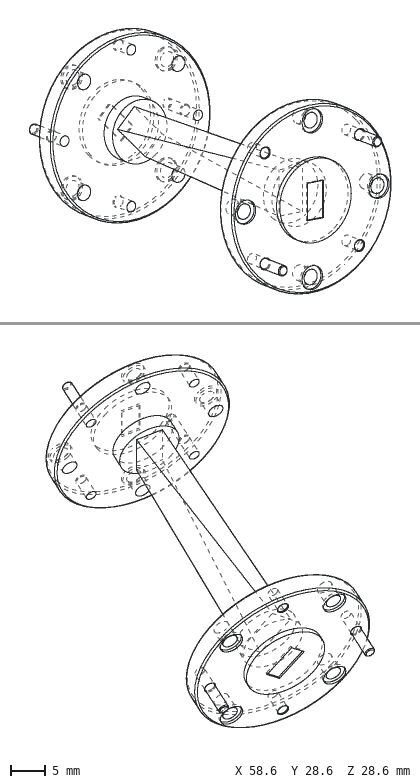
import cadquery as cq
import math

PIN_TIP = 29.3
BOSS_FACE = 25.45
FLANGE_FACE = 24.65
FLANGE_BACK = 21.3
COLLAR_END = 19.15

FLANGE_RADIUS = 14.3
FLANGE_CHAMFER = 0.3
BOSS_RADIUS = 6.4
COLLAR_RADIUS = 4.85
BOLT_CIRCLE_RADIUS = 23.85 / 2
HOLES_PER_SET = 4
SET_OFFSET = 45.0

SCREW_HOLE_RADIUS = 1.2
SPOT_FACE_RADIUS = 1.8
SPOT_FACE_DEPTH = 0.4

PINS_PER_FLANGE = 2
PIN_RADIUS = 1.6 / 2
PIN_CHAMFER = 0.145
HOLE_CHAMFER = 0.1

TUBE_HEIGHT = 7.0
TUBE_WIDTH = 4.2
PORT_HEIGHT = 5.7
PORT_WIDTH = 2.85
PORT_DEPTH = 0.3
TWIST = 45.0

LEFT, RIGHT = -1, 1


def turn_angle(side):
    """Turn of a flange about X: the right one is upright, the left one is twisted."""
    return TWIST if side == LEFT else 0.0


def plane_at(side, x):
    """YZ workplane at a distance from the middle."""
    return cq.Workplane("YZ", origin=(side * x, 0, 0))


def disc(side, inner_x, outer_x, radius):
    """Cylinder on the X axis between two distances from the middle."""
    return plane_at(side, inner_x).circle(radius).extrude(side * (outer_x - inner_x))


def bolt_circle(first_angle, count):
    """Points (Y, Z) evenly spaced on the bolt circle."""
    angles = [math.radians(first_angle + i * 360 / count) for i in range(count)]
    return [(BOLT_CIRCLE_RADIUS * math.cos(a), BOLT_CIRCLE_RADIUS * math.sin(a)) for a in angles]


def screw_hole_points(side):
    """Centres of the screw holes of a flange."""
    return bolt_circle(turn_angle(side), HOLES_PER_SET)


def pin_hole_points(side):
    """Centres of the pin-sized holes, halfway between the screw holes."""
    return bolt_circle(SET_OFFSET + turn_angle(side), HOLES_PER_SET)


def pin_points(side):
    """Centres of the two opposite pins: on the Y axis at the left, on the diagonal at the right."""
    first_angle = SET_OFFSET - turn_angle(side)
    return bolt_circle(first_angle, PINS_PER_FLANGE)


def drill(side, points, radius, inner_x):
    """Cylinders at the given points, from inner_x out to the flange face."""
    depth = side * (FLANGE_FACE - inner_x)
    return plane_at(side, inner_x).pushPoints(points).circle(radius).extrude(depth)


def countersinks(side, points):
    """Cones that chamfer the pin-sized holes at the flange face."""
    cones = cq.Workplane("YZ")
    for y, z in points:
        cone = cq.Solid.makeCone(
            PIN_RADIUS + HOLE_CHAMFER,
            PIN_RADIUS,
            HOLE_CHAMFER,
            pnt=cq.Vector(side * FLANGE_FACE, y, z),
            dir=cq.Vector(-side, 0, 0),
        )
        cones = cones.add(cone)
    return cones.combine()


def port_recess(side):
    """Shallow rectangular recess in the boss face, turned with the flange."""
    recess = plane_at(side, BOSS_FACE).rect(PORT_WIDTH, PORT_HEIGHT).extrude(-side * PORT_DEPTH)
    return recess.rotate((0, 0, 0), (1, 0, 0), turn_angle(side))


def make_flange(side):
    """Flange with boss, collar, holes and port recess."""
    flange = disc(side, FLANGE_BACK, FLANGE_FACE, FLANGE_RADIUS)
    flange = flange.faces("|X").edges().chamfer(FLANGE_CHAMFER)
    flange = flange.union(disc(side, FLANGE_FACE, BOSS_FACE, BOSS_RADIUS))
    flange = flange.union(disc(side, COLLAR_END, FLANGE_BACK, COLLAR_RADIUS))

    screw_points = screw_hole_points(side)
    flange = flange.cut(drill(side, screw_points, SCREW_HOLE_RADIUS, FLANGE_BACK))
    flange = flange.cut(drill(side, screw_points, SPOT_FACE_RADIUS, FLANGE_FACE - SPOT_FACE_DEPTH))

    hole_points = pin_hole_points(side)
    flange = flange.cut(drill(side, hole_points, PIN_RADIUS, FLANGE_BACK))
    flange = flange.cut(countersinks(side, hole_points))

    return flange.cut(port_recess(side))


def tube_end(side):
    """Tube outline where it meets a collar."""
    outline = plane_at(side, COLLAR_END).rect(TUBE_WIDTH, TUBE_HEIGHT)
    return outline.rotate((0, 0, 0), (1, 0, 0), turn_angle(side)).val()


def make_tube():
    """Twisted bar with straight edges from the left collar to the right one."""
    return cq.Workplane(cq.Solid.makeLoft([tube_end(LEFT), tube_end(RIGHT)], True))


def make_pin(side, y, z):
    """Alignment pin from the flange back to its chamfered tip."""
    length = side * (PIN_TIP - FLANGE_BACK)
    pin = cq.Workplane("YZ", origin=(side * FLANGE_BACK, y, z)).circle(PIN_RADIUS).extrude(length)
    return pin.faces(">X" if side == RIGHT else "<X").chamfer(PIN_CHAMFER)


housing = make_tube().union(make_flange(LEFT)).union(make_flange(RIGHT))

pins = [make_pin(side, y, z) for side in (LEFT, RIGHT) for y, z in pin_points(side)]

result = cq.Compound.makeCompound([housing.val(), *[pin.val() for pin in pins]])